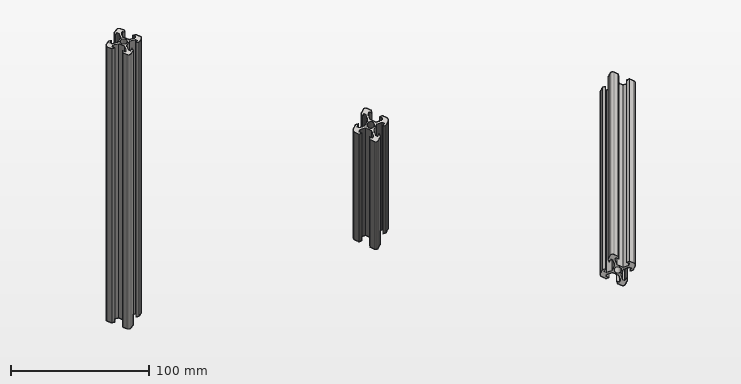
import cadquery as cq

length = 300
width = 20.0
corner_radius = 2.0
bore_diameter = 5.0

mouth_half_width = 4.5
throat_half_width = 3.0
pocket_half_width = 5.5
lip_thickness = 1.8
core_half_width = 3.5
web_offset = 1.2

half_width = width / 2
lip_inner = half_width - lip_thickness
pocket_corner = pocket_half_width + web_offset
floor_half_width = core_half_width - web_offset


def make_slot():
    """Slot cutter for the +Y face: tapered mouth, wide pocket and 45 degree web faces."""
    right_side = [
        (floor_half_width, core_half_width),
        (pocket_half_width, pocket_corner),
        (pocket_half_width, lip_inner),
        (throat_half_width, lip_inner),
        (mouth_half_width, half_width),
    ]
    left_side = [(-x, y) for x, y in reversed(right_side)]
    return cq.Workplane("XY").polyline(right_side + left_side).close().extrude(length)


bar = cq.Workplane("XY").rect(width, width).extrude(length)
bar = bar.edges("|Z").fillet(corner_radius)

slot = make_slot()
for side in range(4):
    bar = bar.cut(slot.rotate((0, 0, 0), (0, 0, 1), 90 * side))

result = bar.faces(">Z").workplane(origin=(0, 0, length)).hole(bore_diameter)